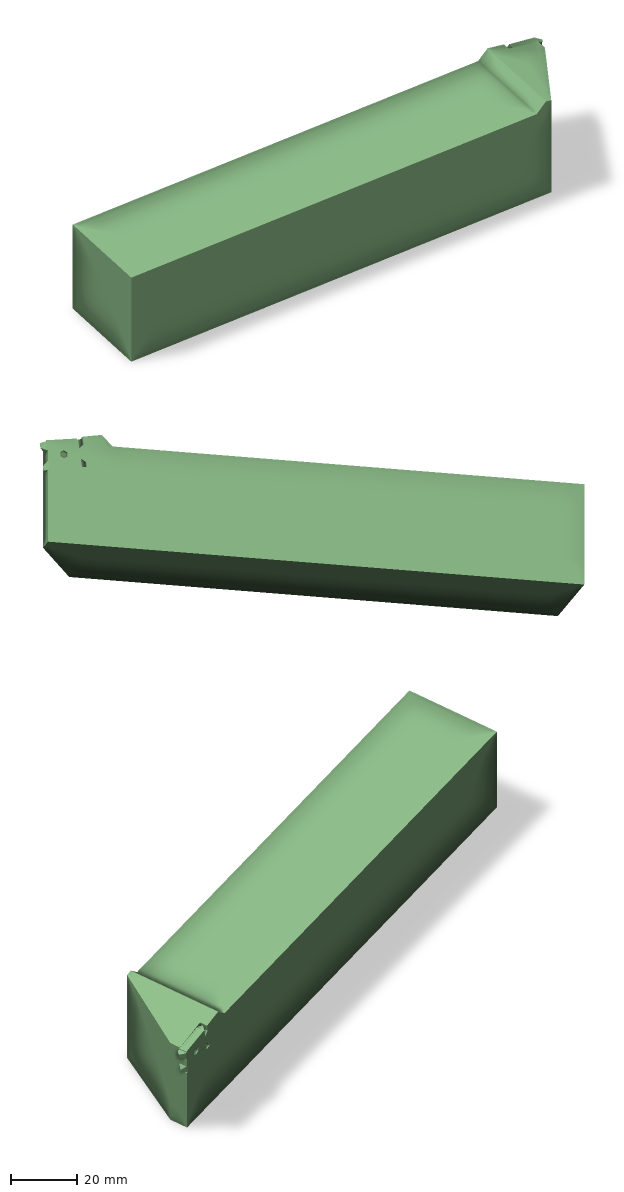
import cadquery as cq
import math

OVERALL_LENGTH = 170.0

SHANK_SIZE = 32.0
HOLDER_LENGTH = 167.8
HEAD_HEIGHT = 35.4
RIDGE_Y = 151.0
HEAD_SLOPE = 10.0
NOSE_WIDTH = 6.1
NOSE_RELIEF_ANGLE = 30.0

INSERT_HALF_LENGTH = 6.6
INSERT_HALF_HEIGHT = 4.8
INSERT_THICKNESS = 2.5
INSERT_TILT = 8.0
INSERT_CENTRE_Z = 28.2
WAIST_HALF_LENGTH = 4.8
TIP_STEP = 0.3
TIP_HEIGHT = 1.5
TIP_FLANK_RISE = 1.5
TIP_APEX_X = 1.5

SCREW_HEAD_RADIUS = 2.4
SCREW_SHANK_RADIUS = 1.4
SCREW_HEAD_DEPTH = 1.5
SCREW_LENGTH = 8.5
SOCKET_DIAMETER = 2.5
SOCKET_DEPTH = 1.0

tilt = math.radians(INSERT_TILT)
TIP_LEVEL = INSERT_HALF_HEIGHT - TIP_STEP
tip_reach = INSERT_HALF_LENGTH * math.cos(tilt) + TIP_LEVEL * math.sin(tilt)
INSERT_CENTRE_Y = OVERALL_LENGTH - tip_reach


def side_plane():
    """Upright plane on the side face at the insert centre: local x = +Y, y = +Z, normal = +X."""
    return cq.Plane(origin=(0, INSERT_CENTRE_Y, INSERT_CENTRE_Z), xDir=(0, 1, 0), normal=(1, 0, 0))


def tilted_plane():
    """Side-face plane turned to follow the tilt of the insert."""
    return side_plane().rotated((0, 0, -INSERT_TILT))


def make_insert_blank():
    """Plate with a hollow between the two stepped tips at each end, before they are pointed."""
    tip_root = TIP_LEVEL - TIP_HEIGHT
    waist_root = tip_root - TIP_FLANK_RISE
    front_end = [
        (WAIST_HALF_LENGTH, INSERT_HALF_HEIGHT),
        (WAIST_HALF_LENGTH, TIP_LEVEL),
        (INSERT_HALF_LENGTH, TIP_LEVEL),
        (INSERT_HALF_LENGTH, tip_root),
        (WAIST_HALF_LENGTH, waist_root),
        (WAIST_HALF_LENGTH, -waist_root),
        (INSERT_HALF_LENGTH, -tip_root),
        (INSERT_HALF_LENGTH, -TIP_LEVEL),
        (WAIST_HALF_LENGTH, -TIP_LEVEL),
        (WAIST_HALF_LENGTH, -INSERT_HALF_HEIGHT),
    ]
    rear_end = [(-u, -v) for u, v in front_end]
    return cq.Workplane(tilted_plane()).polyline(front_end + rear_end).close().extrude(INSERT_THICKNESS)


def make_pointed_ends():
    """Long prism whose two ends are 45-degree points; it trims the blank to its cutting edges."""
    front_shoulder = INSERT_HALF_LENGTH - TIP_APEX_X
    back_shoulder = INSERT_HALF_LENGTH - (INSERT_THICKNESS - TIP_APEX_X)
    front_end = [
        (front_shoulder, 0),
        (INSERT_HALF_LENGTH, TIP_APEX_X),
        (back_shoulder, INSERT_THICKNESS),
    ]
    rear_end = [(-u, depth) for u, depth in reversed(front_end)]
    tilted = tilted_plane()
    edge_plane = cq.Plane(origin=tilted.origin, xDir=tilted.xDir, normal=-tilted.yDir)
    prism = cq.Workplane(edge_plane).polyline(front_end + rear_end).close()
    return prism.extrude(INSERT_HALF_HEIGHT, both=True)


def make_screw_body():
    """Countersunk head and shank, without the socket; also the shape of the screw hole."""
    profile = [
        (0, 0),
        (SCREW_HEAD_RADIUS, 0),
        (SCREW_SHANK_RADIUS, SCREW_HEAD_DEPTH),
        (SCREW_SHANK_RADIUS, SCREW_LENGTH),
        (0, SCREW_LENGTH),
    ]
    axis_plane = cq.Plane(
        origin=(0, INSERT_CENTRE_Y, INSERT_CENTRE_Z), xDir=(0, 1, 0), normal=(0, 0, -1)
    )
    return cq.Workplane(axis_plane).polyline(profile).close().revolve(360, (0, 0), (0, 1))


def make_screw():
    """Clamping screw, flush with the side face, with a hexagon socket."""
    socket = (
        cq.Workplane(side_plane().rotated((0, 0, 90)))
        .polygon(6, SOCKET_DIAMETER)
        .extrude(SOCKET_DEPTH)
    )
    return make_screw_body().cut(socket)


def make_insert():
    """Four-tipped cutting insert with a countersunk screw hole."""
    return make_insert_blank().intersect(make_pointed_ends()).cut(make_screw_body())


def make_pocket():
    """Insert seat in the side face, open at the top of the head."""
    opening = (
        cq.Workplane(tilted_plane())
        .center(0, TIP_LEVEL)
        .rect(2 * INSERT_HALF_LENGTH, 2 * TIP_HEIGHT)
        .extrude(INSERT_THICKNESS)
    )
    return make_insert_blank().union(opening)


def make_holder():
    """Square shank with a raised sloping head, an angled nose, the insert pocket and screw hole."""
    head_rise = HEAD_HEIGHT - SHANK_SIZE
    front_drop = (HOLDER_LENGTH - RIDGE_Y) * math.tan(math.radians(HEAD_SLOPE))
    side_outline = [
        (0, 0),
        (HOLDER_LENGTH, 0),
        (HOLDER_LENGTH, HEAD_HEIGHT - front_drop),
        (RIDGE_Y, HEAD_HEIGHT),
        (RIDGE_Y - head_rise, SHANK_SIZE),
        (0, SHANK_SIZE),
    ]
    body = cq.Workplane("YZ").polyline(side_outline).close().extrude(SHANK_SIZE)

    relief_width = SHANK_SIZE - NOSE_WIDTH
    relief_depth = relief_width * math.tan(math.radians(NOSE_RELIEF_ANGLE))
    relief_outline = [
        (NOSE_WIDTH, HOLDER_LENGTH),
        (SHANK_SIZE, HOLDER_LENGTH),
        (SHANK_SIZE, HOLDER_LENGTH - relief_depth),
    ]
    nose_relief = cq.Workplane("XY").polyline(relief_outline).close().extrude(HEAD_HEIGHT)
    return body.cut(nose_relief).cut(make_pocket()).cut(make_screw_body())


holder = make_holder()
insert = make_insert()
screw = make_screw()

result = cq.Compound.makeCompound([holder.val(), insert.val(), screw.val()])